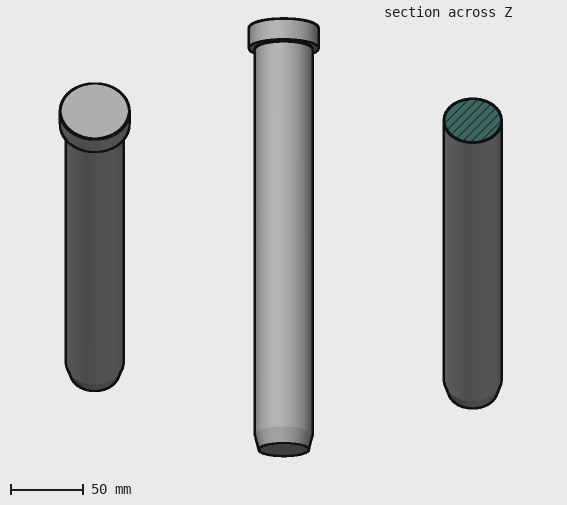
import cadquery as cq

total_length = 300.0
head_diameter = 48.0
head_height = 15.0
head_chamfer = 0.5
shank_diameter = 40.0

tip_diameter = 34.5
tip_height = 10.8

groove_depth = 0.3
groove_height = 0.5

head_radius = head_diameter / 2
shank_radius = shank_diameter / 2
tip_radius = tip_diameter / 2
groove_radius = shank_radius - groove_depth
head_underside = total_length - head_height
groove_bottom = head_underside - groove_height

half_profile = (
    cq.Workplane("XZ")
    .moveTo(0, 0)
    .lineTo(tip_radius, 0)
    .lineTo(shank_radius, tip_height)
    .lineTo(shank_radius, groove_bottom)
    .lineTo(groove_radius, groove_bottom)
    .lineTo(groove_radius, head_underside)
    .lineTo(head_radius, head_underside)
    .lineTo(head_radius, total_length - head_chamfer)
    .lineTo(head_radius - head_chamfer, total_length)
    .lineTo(0, total_length)
    .close()
)

result = half_profile.revolve(360, (0, 0, 0), (0, 1, 0))